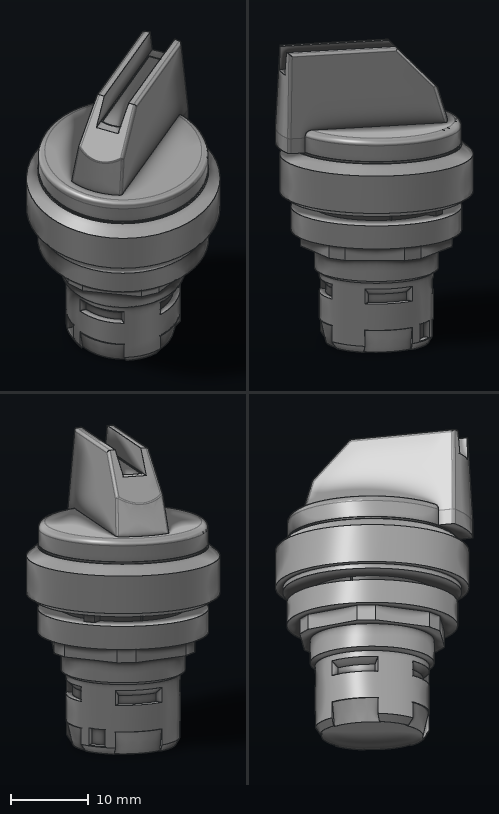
import cadquery as cq
import math


foot_top = 0.95
recess_top = 3.05
window_bottom = 6.57
window_top = 8.53
socket_top = 9.3
shank_bottom = 9.7
nut_bottom = 12.7
washer_bottom = 14.7
neck_bottom = 17.75
neck_top = 19.15
collar_bottom = 19.75
bevel_bottom = 24.7
bevel_top = 25.95
knob_bottom = 26.2
draft_start = 28.17
knob_top = 29.15
total_height = 39.13

foot_radius = 6.8
socket_radius = 7.35
shank_radius = 8.0
washer_radius = 11.0
lip_radius = 11.5
collar_radius = 12.45
bevel_radius = 11.0
gap_radius = 10.8
knob_radius = 10.9
knob_edge_fillet = 0.82

nut_across_flats = 18.08
nut_across_corners = 19.5

key_width = 1.55
key_reach = 9.45
neck_square = 11.5

pocket_floor_radius = 13.05 / 2
recess_start_radius = 14.45 / 2
window_width = 6.25
window_slope = socket_radius - pocket_floor_radius
notch_width = 2.25
notch_bottom = 1.05
notch_top = 3.3

grip_turn = -45.0
side_draft = 4.5
back_draft = 3.0
grip_base_width = 7.28
grip_back_radius = 13.0
nose_base_radius = 9.15
nose_lean = 0.3
slope_start = 2.1
slope_end = 11.75
slope_angle = 45.6
grip_fillet = 0.4

channel_floor = 36.15
channel_top_width = 3.45
channel_floor_width = 3.05
strip_back = 11.15
strip_front_radius = 3.8
strip_width = 2.75
strip_depth = 0.1

diagonals = (45, 135, 225, 315)
overlap = 0.4

level_tolerance = 0.05


def cylinder(radius, bottom, top):
    return cq.Workplane("XY").workplane(offset=bottom).circle(radius).extrude(top - bottom)


def bar_along_x(section, start, end):
    """Extrude a closed (y, z) section from x = start to x = end."""
    return cq.Workplane("YZ").workplane(offset=start).polyline(section).close().extrude(end - start)


def revolved(profile, sweep=360):
    """Revolve a closed (radius, z) profile about Z."""
    return cq.Workplane("XZ").polyline(profile).close().revolve(sweep, (0, 0, 0), (0, 1, 0))


def block(x_range, width, z_range):
    """Box over the given X and Z ranges, centred on Y = 0."""
    size_x = x_range[1] - x_range[0]
    size_z = z_range[1] - z_range[0]
    box = cq.Workplane("XY").box(size_x, width, size_z, centered=(False, True, False))
    return box.translate((x_range[0], 0, z_range[0]))


def turned(shape, angle):
    return shape.rotate((0, 0, 0), (0, 0, 1), angle)


def make_turned_body():
    profile = [
        (0, 0),
        (foot_radius, 0),
        (socket_radius, foot_top),
        (socket_radius, socket_top),
        (shank_radius, shank_bottom),
        (shank_radius, washer_bottom),
        (washer_radius, washer_bottom),
        (washer_radius, neck_bottom),
        (shank_radius, neck_bottom),
        (shank_radius, neck_top),
        (lip_radius, neck_top),
        (lip_radius, collar_bottom),
        (collar_radius, collar_bottom),
        (collar_radius, bevel_bottom),
        (bevel_radius, bevel_top),
        (gap_radius, bevel_top),
        (gap_radius, knob_bottom),
        (0, knob_bottom),
    ]
    return revolved(profile)


def hexagon(across_flats, turn):
    circumscribed = across_flats / math.cos(math.radians(30))
    prism = cq.Workplane("XY").polygon(6, circumscribed).extrude(washer_bottom - nut_bottom)
    return turned(prism, turn).translate((0, 0, nut_bottom))


def make_nut():
    return hexagon(nut_across_flats, 0).intersect(hexagon(nut_across_corners, 30))


def make_neck_key():
    """Key on the -Y side of the neck."""
    return turned(block((0, key_reach), key_width, (neck_bottom, neck_top)), -90)


def make_neck_square():
    half = neck_square / 2
    return block((-half, half), neck_square, (neck_bottom, neck_top))


def make_window():
    """Pocket on the +X side with a flat sill, a round floor and sloped top and ends."""
    half = window_width / 2
    mouth = math.sqrt(socket_radius**2 - half**2)
    inner_half = half - window_slope
    inner = mouth - window_slope
    plan = [
        (inner - overlap, inner_half - overlap),
        (mouth + window_slope, half + window_slope),
        (mouth + window_slope, -half - window_slope),
        (inner - overlap, -inner_half + overlap),
    ]
    wedge = cq.Workplane("XY").workplane(offset=window_bottom).polyline(plan).close()
    wedge = wedge.extrude(window_top - window_bottom)
    sides = block((0, collar_radius), window_width, (window_bottom, window_top))
    roof = [
        (0, window_bottom),
        (socket_radius, window_bottom),
        (socket_radius, window_top),
        (pocket_floor_radius, window_top - window_slope),
        (0, window_top - window_slope),
    ]
    cone = revolved(roof)
    core = cylinder(pocket_floor_radius, 0, total_height)
    return wedge.intersect(sides).intersect(cone).cut(core)


def make_foot_recess():
    """Tapered recess on the +X side, open at the bottom."""
    profile = [
        (pocket_floor_radius, 0),
        (recess_start_radius, recess_top),
        (collar_radius, recess_top),
        (collar_radius, 0),
    ]
    ring = revolved(profile)
    band = block((0, collar_radius), window_width, (0, recess_top))
    return ring.intersect(band)


def make_notch():
    """Rectangular notch on the -Y side of the socket."""
    notch = turned(block((0, collar_radius), notch_width, (notch_bottom, notch_top)), -90)
    return notch.cut(cylinder(pocket_floor_radius, 0, total_height))


def make_knob():
    return cylinder(knob_radius, knob_bottom, knob_top).faces(">Z").edges().fillet(knob_edge_fillet)


def half_turned(profile, turn):
    """Revolve a (radius, z) profile half a turn; turn 0 gives the half on the +X side."""
    return turned(revolved(profile, 180), turn - 90)


def is_rounded(edge):
    """True for the edges around the two grip sides and the one between slope and nose."""
    box = edge.BoundingBox()
    is_level = box.zmax - box.zmin < level_tolerance
    if is_level:
        on_one_side = box.ymin * box.ymax > 0
        return on_one_side and box.zmax > draft_start + overlap
    is_across_back = box.xmax < 0 and box.ymin * box.ymax < 0
    return not is_across_back


def make_grip():
    draft_height = total_height - draft_start
    base_half = grip_base_width / 2
    top_half = base_half - draft_height * math.tan(math.radians(side_draft))
    section = [
        (-base_half, knob_bottom),
        (base_half, knob_bottom),
        (base_half, draft_start),
        (top_half, total_height),
        (-top_half, total_height),
        (-base_half, draft_start),
    ]
    bar = bar_along_x(section, -grip_back_radius - overlap, slope_end)

    back_top_radius = grip_back_radius - draft_height * math.tan(math.radians(back_draft))
    back = [
        (0, knob_bottom),
        (grip_back_radius, knob_bottom),
        (grip_back_radius, draft_start),
        (back_top_radius, total_height),
        (0, total_height),
    ]
    nose = [
        (0, knob_bottom),
        (nose_base_radius + nose_lean * (knob_top - knob_bottom), knob_bottom),
        (nose_base_radius - nose_lean * (total_height - knob_top), total_height),
        (0, total_height),
    ]
    ends = half_turned(back, 180).union(half_turned(nose, 0))
    slope_drop = (slope_end - slope_start) * math.tan(math.radians(slope_angle))
    slope_corners = [
        (slope_start, total_height),
        (slope_end, total_height),
        (slope_end, total_height - slope_drop),
    ]
    slope = cq.Workplane("XZ").polyline(slope_corners).close().extrude(grip_base_width, both=True)
    grip = bar.intersect(ends).cut(slope)
    rounded_edges = [edge for edge in grip.edges().vals() if is_rounded(edge)]
    return grip.newObject(rounded_edges).fillet(grip_fillet)


def make_channel():
    section = [
        (-channel_floor_width / 2, channel_floor),
        (channel_floor_width / 2, channel_floor),
        (channel_top_width / 2, total_height),
        (-channel_top_width / 2, total_height),
    ]
    channel = bar_along_x(section, -grip_back_radius - overlap, slope_end)
    strip_heights = (channel_floor - strip_depth, channel_floor)
    tail = block((-strip_back, 0), strip_width, strip_heights)
    front = block((0, strip_front_radius), strip_width, strip_heights)
    rounded_front = front.intersect(cylinder(strip_front_radius, *strip_heights))
    return channel.union(tail).union(rounded_front)


body = make_turned_body().union(make_nut()).union(make_neck_square()).union(make_neck_key())
for angle in diagonals:
    body = body.cut(turned(make_window(), angle))
    body = body.cut(turned(make_foot_recess(), angle))
body = body.cut(make_notch())

grip = make_grip().cut(make_channel())
result = body.union(make_knob()).union(turned(grip, grip_turn))